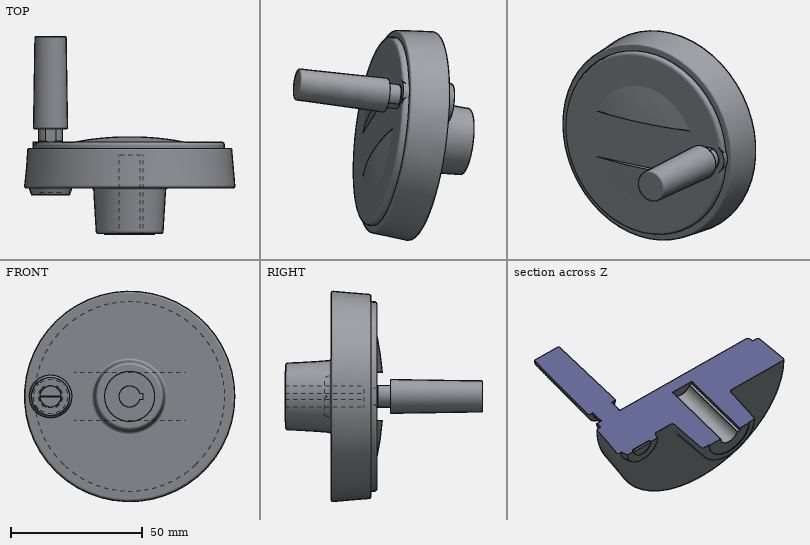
import cadquery as cq
import math


hub_end_y = 0.3
boss_front_y = 15.0
disc_front_y = 17.5
disc_back_y = 32.6
cover_y = 35.0
dome_top_y = 37.0
grip_start_y = 40.0
grip_end_y = 75.0

disc_front_radius = 39.99
disc_back_radius = 38.7
disc_front_fillet = 0.9
disc_back_fillet = 0.7

hub_root_radius = 13.7
hub_end_radius = 12.65
hub_end_fillet = 0.9
hub_root_fillet = 0.8
insert_diameter = 19.0
bore_diameter = 8.0
bore_depth = 30.0
keyway_width = 2.2
keyway_reach = 5.0

cover_radius = 36.0
cover_fillet = 1.3
dome_edge_radius = 22.8
slot_width = 18.2

handle_x = -30.0
front_boss_root_radius = 8.1
front_boss_end_radius = 7.2
rear_boss_diameter = 13.2
pin_diameter = 9.2
pin_flats = 8.3
pin_chamfer = 0.4
grip_start_radius = 6.5
grip_end_radius = 5.95
grip_fillet = 0.6

screw_diameter = 8.0
screw_sink = 0.1
screw_slot_width = 0.5
screw_slot_depth = 0.8


def turned(start_y, start_radius, end_y, end_radius, x=0.0):
    """Cone or cylinder along Y, centred on the given X."""
    profile = [(0, start_y), (start_radius, start_y), (end_radius, end_y), (0, end_y)]
    return (
        cq.Workplane("XY", origin=(x, 0, 0))
        .polyline(profile)
        .close()
        .revolve(360, (0, 0, 0), (0, 1, 0))
    )


def block(x_min, x_max, y_min, y_max, width):
    """Box spanning the given X and Y ranges, centred on Z = 0."""
    return cq.Workplane("XY").box(x_max - x_min, y_max - y_min, width).translate(
        ((x_min + x_max) / 2, (y_min + y_max) / 2, 0)
    )


def make_disc():
    disc = turned(disc_front_y, disc_front_radius, disc_back_y, disc_back_radius)
    disc = disc.faces("<Y").edges().fillet(disc_front_fillet)
    return disc.faces(">Y").edges().fillet(disc_back_fillet)


def add_hub(wheel):
    hub = turned(hub_end_y, hub_end_radius, disc_front_y, hub_root_radius)
    hub = hub.faces("<Y").edges().fillet(hub_end_fillet)
    wheel = wheel.union(hub)
    reach = hub_root_radius + hub_root_fillet
    root_zone = cq.selectors.BoxSelector(
        (-reach, disc_front_y - hub_root_fillet, -reach),
        (reach, disc_front_y + hub_root_fillet, reach),
        boundingbox=True,
    )
    wheel = wheel.edges(root_zone).edges("%CIRCLE").fillet(hub_root_fillet)
    insert_radius = insert_diameter / 2
    return wheel.union(turned(0, insert_radius, disc_front_y, insert_radius))


def make_cover():
    cover = turned(disc_front_y + disc_front_fillet, cover_radius, cover_y, cover_radius)
    return cover.faces(">Y").edges().fillet(cover_fillet)


def make_dome():
    """Spherical cap whose crown is removed by the slot along X."""
    slot_half = slot_width / 2
    rise = dome_top_y - cover_y
    center_drop = (dome_edge_radius**2 - slot_half**2 - rise**2) / (2 * rise)
    sphere_radius = math.hypot(dome_edge_radius, center_drop)
    crown_y = cover_y - center_drop + sphere_radius
    middle_radius = dome_edge_radius / 2
    middle_y = cover_y - center_drop + math.sqrt(sphere_radius**2 - middle_radius**2)
    cap = (
        cq.Workplane("XY")
        .moveTo(0, disc_back_y)
        .lineTo(dome_edge_radius, disc_back_y)
        .lineTo(dome_edge_radius, cover_y)
        .threePointArc((middle_radius, middle_y), (0, crown_y))
        .close()
        .revolve(360, (0, 0, 0), (0, 1, 0))
    )
    slot = block(-cover_radius, cover_radius, cover_y, grip_start_y, slot_width)
    return cap.cut(slot)


def make_bosses():
    front = turned(boss_front_y, front_boss_end_radius, disc_front_y, front_boss_root_radius, handle_x)
    radius = rear_boss_diameter / 2
    rear = turned(disc_front_y, radius, cover_y, radius, handle_x)
    return front.union(rear)


def make_handle():
    radius = pin_diameter / 2
    pin = turned(cover_y, radius, grip_start_y, radius, handle_x)
    pin = pin.faces("<Y").edges().chamfer(pin_chamfer)
    pin = pin.intersect(block(handle_x - radius, handle_x + radius, cover_y, grip_start_y, pin_flats))
    grip = turned(grip_start_y, grip_start_radius, grip_end_y, grip_end_radius, handle_x)
    grip = grip.faces("<Y or >Y").edges().fillet(grip_fillet)
    return pin.union(grip)


def cut_bore(wheel):
    radius = bore_diameter / 2
    wheel = wheel.cut(turned(0, radius, bore_depth, radius))
    return wheel.cut(block(0, keyway_reach, 0, bore_depth, keyway_width))


def cut_screw_head(wheel):
    radius = screw_diameter / 2
    head_y = boss_front_y + screw_sink
    recess = turned(boss_front_y, radius, head_y, radius, handle_x)
    slot = block(
        handle_x - radius, handle_x + radius, head_y, head_y + screw_slot_depth, screw_slot_width
    )
    return wheel.cut(recess).cut(slot)


wheel = add_hub(make_disc())
wheel = wheel.union(make_cover()).union(make_dome()).union(make_bosses())
wheel = wheel.union(make_handle())
wheel = cut_bore(wheel)
result = cut_screw_head(wheel)